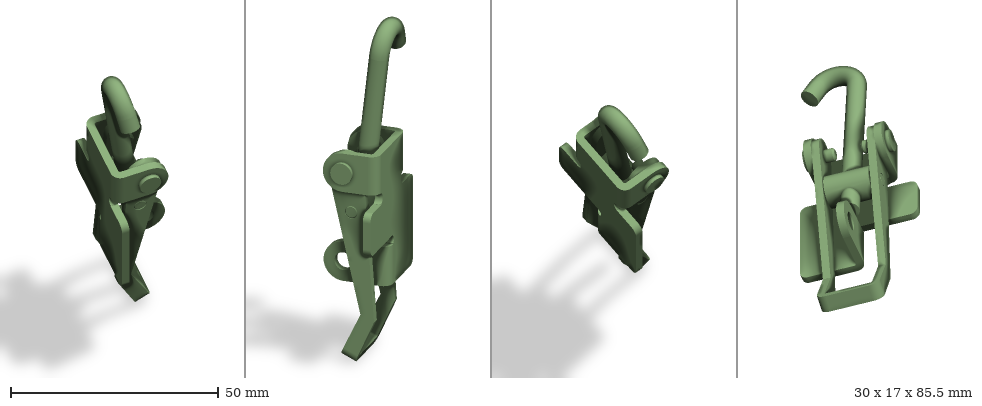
import cadquery as cq
import math


LATCH_LENGTH = 85.5

SHEET = 2.0
BEND_INNER = 0.5
BEND_OUTER = SHEET + BEND_INNER
PLATE_WIDTH = 30.0
PLATE_CORNER = 2.0
PIVOT_Y = 9.1
PIVOT_EAR_HEIGHT = 10.0
PIVOT_EAR_RADIUS = PIVOT_EAR_HEIGHT / 2
EARS_WIDTH = 20.0
UPPER_RELIEF_RADIUS = 1.5
UPPER_RELIEF_X = 7.95
WING_HEIGHT = 11.0
LOCK_EAR_RADIUS = 5.1
LOCK_EAR_Y = 11.9
LOCK_EAR_X = -1.45
LOCK_HOLE_DIAMETER = 4.6
LOWER_RELIEF_RADIUS = 1.3
LOWER_RELIEF_X = 0.2
WING_TOP = -PIVOT_EAR_RADIUS - 2 * UPPER_RELIEF_RADIUS
WING_BOTTOM = WING_TOP - WING_HEIGHT
LOCK_EAR_Z = WING_BOTTOM - 2 * LOWER_RELIEF_RADIUS - LOCK_EAR_RADIUS
PLATE_BOTTOM = LOCK_EAR_Z - LOCK_EAR_RADIUS

RIVET_RADIUS = 1.6
RIVET_HEAD_RADIUS = 2.7
RIVET_HEAD_HEIGHT = 1.0
RIVET_INNER_X = 3.4
RIVET_CHAMFER = 0.4

SWIVEL_Y = 7.5
SWIVEL_Z = -10.9
BARREL_RADIUS = 4.0
BARREL_LENGTH = 11.5
TRUNNION_RADIUS = 1.6
TRUNNION_CHAMFER = 0.25
COUNTERSINK_RADIUS = 3.4

HOOK_TILT = 6.4
HOOK_DIAMETER = 4.9
HOOK_RADIUS = HOOK_DIAMETER / 2
HOOK_BELOW = 9.0
HOOK_ABOVE = 38.3
HOOK_BEND_RADIUS = 5.5
HOOK_BEND_ANGLE = 150.0
HOOK_TAIL = 3.8
HOOK_TOP = SWIVEL_Z + (HOOK_ABOVE + HOOK_BEND_RADIUS) * math.cos(math.radians(HOOK_TILT)) + HOOK_RADIUS

LEVER_WIDTH = EARS_WIDTH - 2 * SHEET
LEVER_WALL = 2.0
LEVER_INNER_WIDTH = LEVER_WIDTH - 2 * LEVER_WALL
LEVER_HEAD_RADIUS = 4.5
BACK_KNEE = (5.1, -37.3)
FRONT_KNEE = (1.6, -38.8)
BACK_TIP = (10.6, -48.7)
FRONT_TIP = (6.8, HOOK_TOP - LATCH_LENGTH)


def cylinder_along_x(radius, x_start, x_end, y, z):
    """Cylinder parallel to X, from x_start to x_end."""
    return (
        cq.Workplane("YZ", origin=(x_start, 0, 0))
        .center(y, z)
        .circle(radius)
        .extrude(x_end - x_start)
    )


def folded_ear(outer_x, round_y, round_z, radius):
    """Left-hand ear with its bend, ending in a half round about (round_y, round_z)."""
    inner_x = outer_x + SHEET
    plate_x = outer_x + BEND_OUTER
    back_y = round_y + radius
    diagonal = math.sqrt(0.5)
    section = (
        cq.Workplane("XY", origin=(0, 0, round_z - radius))
        .moveTo(plate_x, 0)
        .threePointArc(
            (plate_x - BEND_OUTER * diagonal, BEND_OUTER * (1 - diagonal)),
            (outer_x, BEND_OUTER),
        )
        .lineTo(outer_x, back_y)
        .lineTo(inner_x, back_y)
        .lineTo(inner_x, BEND_OUTER)
        .threePointArc(
            (plate_x - BEND_INNER * diagonal, BEND_OUTER - BEND_INNER * diagonal),
            (plate_x, SHEET),
        )
        .close()
        .extrude(2 * radius)
    )
    side_outline = (
        cq.Workplane("YZ", origin=(outer_x, 0, 0))
        .moveTo(0, round_z - radius)
        .lineTo(round_y, round_z - radius)
        .threePointArc((back_y, round_z), (round_y, round_z + radius))
        .lineTo(0, round_z + radius)
        .close()
        .extrude(BEND_OUTER)
    )
    return section.intersect(side_outline)


def make_plate():
    """Flat front plate with rounded outer corners and bend reliefs."""
    half_width = PLATE_WIDTH / 2
    neck_x = EARS_WIDTH / 2 - BEND_OUTER
    lower_x = LOCK_EAR_X + BEND_OUTER
    outline = [
        (-neck_x, PIVOT_EAR_RADIUS),
        (neck_x, PIVOT_EAR_RADIUS),
        (neck_x, WING_TOP),
        (half_width, WING_TOP),
        (half_width, PLATE_BOTTOM),
        (lower_x, PLATE_BOTTOM),
        (lower_x, WING_BOTTOM),
        (-half_width, WING_BOTTOM),
        (-half_width, WING_TOP),
        (-neck_x, WING_TOP),
    ]
    plate = cq.Workplane("XZ").polyline(outline).close().extrude(-SHEET)
    for side in ("<X", ">X"):
        plate = plate.faces(side).edges("|Y").fillet(PLATE_CORNER)

    upper_reliefs = (
        cq.Workplane("XZ")
        .pushPoints([(x, WING_TOP + UPPER_RELIEF_RADIUS) for x in (-UPPER_RELIEF_X, UPPER_RELIEF_X)])
        .circle(UPPER_RELIEF_RADIUS)
        .extrude(-SHEET)
    )
    lower_relief = (
        cq.Workplane("XZ")
        .center(LOWER_RELIEF_X, WING_BOTTOM - LOWER_RELIEF_RADIUS)
        .circle(LOWER_RELIEF_RADIUS)
        .extrude(-SHEET)
    )
    return plate.cut(upper_reliefs).cut(lower_relief)


def make_bracket():
    """Plate, two pivot ears with rivet holes, and the padlock ear with its hole."""
    ear_x = EARS_WIDTH / 2
    pivot_ear = folded_ear(-ear_x, PIVOT_Y, 0, PIVOT_EAR_RADIUS)
    lock_ear = folded_ear(LOCK_EAR_X, LOCK_EAR_Y, LOCK_EAR_Z, LOCK_EAR_RADIUS)
    lock_hole = cylinder_along_x(
        LOCK_HOLE_DIAMETER / 2, LOCK_EAR_X, LOCK_EAR_X + SHEET, LOCK_EAR_Y, LOCK_EAR_Z
    )
    rivet_holes = cylinder_along_x(RIVET_RADIUS, -ear_x, ear_x, PIVOT_Y, 0)
    return (
        make_plate()
        .union(pivot_ear)
        .union(pivot_ear.mirror("YZ"))
        .union(lock_ear)
        .cut(lock_hole)
        .cut(rivet_holes)
    )


def make_rivet(side):
    """Headed rivet through one ear and lever arm; side is -1 for left, 1 for right."""
    ear_x = EARS_WIDTH / 2
    shank = cylinder_along_x(RIVET_RADIUS, RIVET_INNER_X, ear_x, PIVOT_Y, 0)
    shank = shank.faces("<X").chamfer(RIVET_CHAMFER)
    head = cylinder_along_x(RIVET_HEAD_RADIUS, ear_x, ear_x + RIVET_HEAD_HEIGHT, PIVOT_Y, 0)
    rivet = shank.union(head)
    if side < 0:
        rivet = rivet.mirror("YZ")
    return rivet


def head_tangent(knee, turn):
    """Point where the line from a knee touches the lever head; turn is +1 or -1."""
    dy = knee[0] - PIVOT_Y
    dz = knee[1]
    angle = math.atan2(dz, dy) + turn * math.acos(LEVER_HEAD_RADIUS / math.hypot(dy, dz))
    return (PIVOT_Y + LEVER_HEAD_RADIUS * math.cos(angle), LEVER_HEAD_RADIUS * math.sin(angle))


def make_lever():
    """Cranked side outline, hollowed to leave two arms joined at the tip."""
    lever = (
        cq.Workplane("YZ", origin=(-LEVER_WIDTH / 2, 0, 0))
        .moveTo(*head_tangent(FRONT_KNEE, -1))
        .threePointArc((PIVOT_Y, LEVER_HEAD_RADIUS), head_tangent(BACK_KNEE, 1))
        .lineTo(*BACK_KNEE)
        .lineTo(*BACK_TIP)
        .lineTo(*FRONT_TIP)
        .lineTo(*FRONT_KNEE)
        .close()
        .extrude(LEVER_WIDTH)
    )
    tip_rise = BACK_TIP[1] - FRONT_TIP[1]
    tip_run = BACK_TIP[0] - FRONT_TIP[0]
    tip_angle = math.degrees(math.atan2(tip_rise, tip_run))

    tip_middle_y = (FRONT_TIP[0] + BACK_TIP[0]) / 2
    tip_middle_z = (FRONT_TIP[1] + BACK_TIP[1]) / 2
    for x in (-LEVER_WIDTH / 2, LEVER_WIDTH / 2):
        corner = cq.selectors.NearestToPointSelector((x, tip_middle_y, tip_middle_z))
        lever = lever.edges(corner).fillet(LEVER_WALL + BEND_INNER)

    reach = 2 * abs(FRONT_TIP[1])
    space = (
        cq.Workplane("XY")
        .box(LEVER_INNER_WIDTH, reach, reach, centered=(True, True, False))
        .edges("<Z and |Y")
        .fillet(BEND_INNER)
        .translate((0, 0, LEVER_WALL))
        .rotate((0, 0, 0), (1, 0, 0), tip_angle)
        .translate((0, *FRONT_TIP))
    )
    arm_x = LEVER_WIDTH / 2
    rivet_holes = cylinder_along_x(RIVET_RADIUS, -arm_x, arm_x, PIVOT_Y, 0)
    swivel_holes = cylinder_along_x(TRUNNION_RADIUS, -arm_x, arm_x, SWIVEL_Y, SWIVEL_Z)
    return lever.cut(space).cut(rivet_holes).cut(swivel_holes)


def place_on_swivel(body):
    """Lean a body built about the origin and move it to the swivel axis."""
    return body.rotate((0, 0, 0), (1, 0, 0), HOOK_TILT).translate((0, SWIVEL_Y, SWIVEL_Z))


def make_swivel():
    """Barrel with chamfered trunnions and a countersunk cross hole for the hook."""
    trunnion_x = LEVER_WIDTH / 2
    trunnions = cylinder_along_x(TRUNNION_RADIUS, -trunnion_x, trunnion_x, 0, 0)
    trunnions = trunnions.faces("<X or >X").chamfer(TRUNNION_CHAMFER)
    barrel = cylinder_along_x(BARREL_RADIUS, -BARREL_LENGTH / 2, BARREL_LENGTH / 2, 0, 0)
    hook_hole = cq.Workplane("XY").circle(HOOK_RADIUS).extrude(BARREL_RADIUS, both=True)
    cone_bottom = BARREL_RADIUS - (COUNTERSINK_RADIUS - HOOK_RADIUS)
    countersink = (
        cq.Workplane("XZ")
        .moveTo(0, cone_bottom)
        .lineTo(HOOK_RADIUS, cone_bottom)
        .lineTo(COUNTERSINK_RADIUS, BARREL_RADIUS)
        .lineTo(0, BARREL_RADIUS)
        .close()
        .revolve(360, (0, 0, 0), (0, 1, 0))
    )
    return place_on_swivel(barrel.union(trunnions).cut(hook_hole).cut(countersink))


def make_hook():
    """Straight bar, bent over at the top into a short straight tail."""
    half_bend = math.radians(HOOK_BEND_ANGLE / 2)
    full_bend = math.radians(HOOK_BEND_ANGLE)

    def bend_point(angle):
        x = HOOK_BEND_RADIUS * (1 - math.cos(angle))
        z = HOOK_ABOVE + HOOK_BEND_RADIUS * math.sin(angle)
        return (x, z)

    bend_end = bend_point(full_bend)
    tail_end = (
        bend_end[0] + HOOK_TAIL * math.sin(full_bend),
        bend_end[1] + HOOK_TAIL * math.cos(full_bend),
    )
    path = (
        cq.Workplane("XZ")
        .moveTo(0, -HOOK_BELOW)
        .lineTo(0, HOOK_ABOVE)
        .threePointArc(bend_point(half_bend), bend_end)
        .lineTo(*tail_end)
    )
    bar = cq.Workplane("XY", origin=(0, 0, -HOOK_BELOW)).circle(HOOK_RADIUS).sweep(path)
    return place_on_swivel(bar)


bracket = make_bracket()
lever = make_lever()
rivets = [make_rivet(side) for side in (-1, 1)]
swivel = make_swivel()
hook = make_hook()

result = cq.Compound.makeCompound(
    [bracket.val(), lever.val(), *[rivet.val() for rivet in rivets], swivel.val(), hook.val()]
)